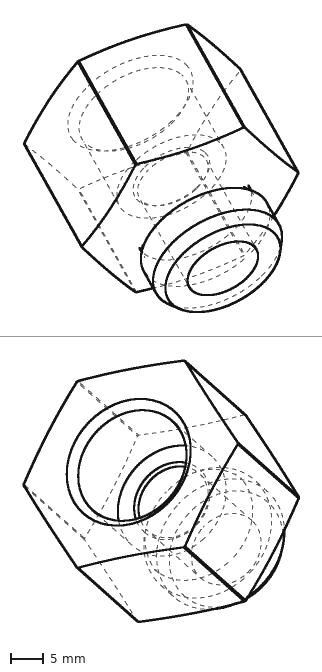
import cadquery as cq
import math

total_length = 36.0

hex_length = 24.0
hex_across_flats = 32.0
hex_corner_diameter = 36.83
hex_face_diameter = 31.0
hex_chamfer_angle = math.radians(15)

spigot_diameter = 22.0
neck_diameter = 19.6
neck_fillet = 1.0
land_start = 29.17
slope_angle = math.radians(30)

socket_diameter = 18.65
socket_mouth_diameter = 21.32
socket_depth = 16.0
through_diameter = 12.0
through_mouth_diameter = 13.05


def revolve_about_x(profile):
    """Turn a closed (x, radius) profile around the X axis."""
    return profile.close().revolve(360, (0, 0, 0), (1, 0, 0))


def make_hex_body():
    """Hexagon with chamfered ends and slightly turned-down corners."""
    corner_radius = hex_corner_diameter / 2
    face_radius = hex_face_diameter / 2
    chamfer_length = (corner_radius - face_radius) * math.tan(hex_chamfer_angle)
    across_corners = hex_across_flats / math.cos(math.pi / 6)

    prism = cq.Workplane("YZ").polygon(6, across_corners).extrude(hex_length)
    envelope = revolve_about_x(
        cq.Workplane("XY")
        .lineTo(0, face_radius)
        .lineTo(chamfer_length, corner_radius)
        .lineTo(hex_length - chamfer_length, corner_radius)
        .lineTo(hex_length, face_radius)
        .lineTo(hex_length, 0)
    )
    return prism.intersect(envelope)


def make_spigot():
    """Filleted neck, conical shoulder, cylindrical land and tapered end."""
    neck_radius = neck_diameter / 2
    land_radius = spigot_diameter / 2
    step = land_radius - neck_radius
    fillet_center_radius = neck_radius + neck_fillet

    fillet_rise = neck_fillet * (1 - math.cos(slope_angle))
    fillet_run = neck_fillet * math.sin(slope_angle)
    cone_start = land_start - (step - fillet_rise) / math.tan(slope_angle)
    neck_end = cone_start - fillet_run
    land_end = total_length - step / math.tan(slope_angle)

    root_mid = (
        hex_length + neck_fillet * (1 - math.cos(math.pi / 4)),
        fillet_center_radius - neck_fillet * math.sin(math.pi / 4),
    )
    shoulder_mid = (
        neck_end + neck_fillet * math.sin(slope_angle / 2),
        fillet_center_radius - neck_fillet * math.cos(slope_angle / 2),
    )
    return revolve_about_x(
        cq.Workplane("XY")
        .moveTo(hex_length, 0)
        .lineTo(hex_length, fillet_center_radius)
        .threePointArc(root_mid, (hex_length + neck_fillet, neck_radius))
        .lineTo(neck_end, neck_radius)
        .threePointArc(shoulder_mid, (cone_start, neck_radius + fillet_rise))
        .lineTo(land_start, land_radius)
        .lineTo(land_end, land_radius)
        .lineTo(total_length, neck_radius)
        .lineTo(total_length, 0)
    )


def make_bore():
    """Countersunk socket leading into a chamfered through hole."""
    socket_radius = socket_diameter / 2
    socket_mouth_radius = socket_mouth_diameter / 2
    through_radius = through_diameter / 2
    through_mouth_radius = through_mouth_diameter / 2

    socket_chamfer = socket_mouth_radius - socket_radius
    through_chamfer = through_mouth_radius - through_radius
    return revolve_about_x(
        cq.Workplane("XY")
        .lineTo(0, socket_mouth_radius)
        .lineTo(socket_chamfer, socket_radius)
        .lineTo(socket_depth, socket_radius)
        .lineTo(socket_depth, through_mouth_radius)
        .lineTo(socket_depth + through_chamfer, through_radius)
        .lineTo(total_length, through_radius)
        .lineTo(total_length, 0)
    )


result = make_hex_body().union(make_spigot()).cut(make_bore())